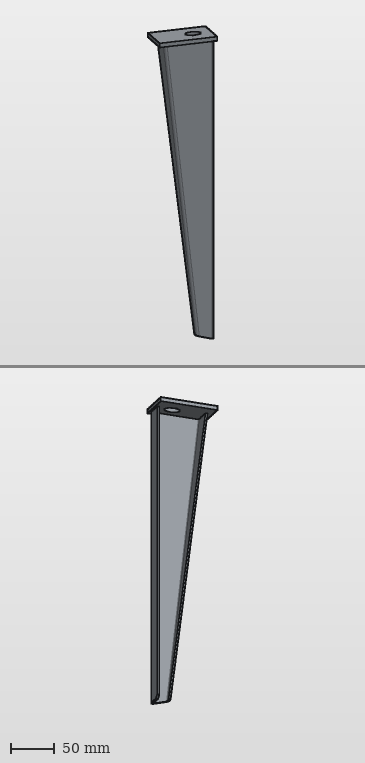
import cadquery as cq
import math

TOTAL_HEIGHT = 365.0
PLATE_WIDTH = 40.0
PLATE_LENGTH = 70.0
PLATE_THICKNESS = 5.0
PLATE_BOTTOM = TOTAL_HEIGHT - PLATE_THICKNESS

HOLE_WIDTH = 12.0
HOLE_LENGTH = 18.5
HOLE_Y = 12.8

SHEET = 2.5
INNER_BEND = 0.7
OUTER_BEND = INNER_BEND + SHEET
WEB_X = 16.8
BACK_Y = 33.0
FRONT_TOP_Y = -28.5
FRONT_FOOT_Y = 11.3
FOOT_RISE = 5.5

BACK_EDGE_X = -4.0
FRONT_EDGE_TOP_X = -6.2
FRONT_EDGE_FOOT_X = 10.0
BACK_CORNER_CUT = 4.0
FRONT_CORNER_CUT = 1.5

FRONT_LEAN = math.atan2(FRONT_FOOT_Y - FRONT_TOP_Y, PLATE_BOTTOM)
FRONT_SHEET_Y = SHEET / math.cos(FRONT_LEAN)
BACK_INNER_Y = BACK_Y - SHEET
BACK_BEND_Y = BACK_Y - OUTER_BEND


def make_plate():
    plate = (
        cq.Workplane("XY", origin=(0, 0, PLATE_BOTTOM))
        .rect(PLATE_WIDTH, PLATE_LENGTH)
        .extrude(PLATE_THICKNESS)
    )
    hole = (
        cq.Workplane("XY", origin=(0, HOLE_Y, PLATE_BOTTOM))
        .ellipse(HOLE_WIDTH / 2, HOLE_LENGTH / 2)
        .extrude(PLATE_THICKNESS)
    )
    return plate.cut(hole)


def make_wedge(back_y, front_inset, right_x, bend_radius):
    """Tapering bar that ends at right_x, with its two long edges there rounded."""
    profile = [
        (back_y, 0),
        (FRONT_FOOT_Y + front_inset, 0),
        (FRONT_TOP_Y + front_inset, PLATE_BOTTOM),
        (back_y, PLATE_BOTTOM),
    ]
    return (
        cq.Workplane("YZ", origin=(FRONT_EDGE_TOP_X, 0, 0))
        .polyline(profile)
        .close()
        .extrude(right_x - FRONT_EDGE_TOP_X)
        .faces(">X")
        .edges("not |Y")
        .fillet(bend_radius)
    )


def make_foot_cut():
    """Waste under the slanted lower end of the web and the front flange."""
    slope = FOOT_RISE / (BACK_BEND_Y - FRONT_FOOT_Y)
    waste = [
        (BACK_BEND_Y, 0),
        (FRONT_TOP_Y, 0),
        (FRONT_TOP_Y, slope * (BACK_BEND_Y - FRONT_TOP_Y)),
    ]
    return (
        cq.Workplane("YZ", origin=(FRONT_EDGE_TOP_X, 0, 0))
        .polyline(waste)
        .close()
        .extrude(WEB_X - FRONT_EDGE_TOP_X)
    )


def make_front_edge_cut():
    """Waste beside the front flange's sloping free edge and its cut lower corner."""
    corner_z = FOOT_RISE + FRONT_CORNER_CUT
    corner_x = FRONT_EDGE_FOOT_X + (FRONT_EDGE_TOP_X - FRONT_EDGE_FOOT_X) * corner_z / PLATE_BOTTOM
    waste = [
        (FRONT_EDGE_TOP_X, 0),
        (corner_x + FRONT_CORNER_CUT, 0),
        (corner_x + FRONT_CORNER_CUT, FOOT_RISE),
        (corner_x, corner_z),
        (FRONT_EDGE_TOP_X, PLATE_BOTTOM),
    ]
    return (
        cq.Workplane("XZ", origin=(0, BACK_INNER_Y, 0))
        .polyline(waste)
        .close()
        .extrude(BACK_INNER_Y - FRONT_TOP_Y)
    )


def make_back_edge_cut():
    """Waste beside the back flange's upright free edge and its cut lower corner."""
    waste = [
        (FRONT_EDGE_TOP_X, 0),
        (BACK_EDGE_X + BACK_CORNER_CUT, 0),
        (BACK_EDGE_X, BACK_CORNER_CUT),
        (BACK_EDGE_X, PLATE_BOTTOM),
        (FRONT_EDGE_TOP_X, PLATE_BOTTOM),
    ]
    return cq.Workplane("XZ", origin=(0, BACK_Y, 0)).polyline(waste).close().extrude(SHEET)


def make_arm():
    outside = make_wedge(BACK_Y, 0, WEB_X, OUTER_BEND)
    inside = make_wedge(BACK_INNER_Y, FRONT_SHEET_Y, WEB_X - SHEET, INNER_BEND)
    channel = outside.cut(inside)
    return channel.cut(make_foot_cut()).cut(make_front_edge_cut()).cut(make_back_edge_cut())


plate = make_plate()
arm = make_arm()
result = cq.Compound.makeCompound([plate.solids().val(), arm.solids().val()])